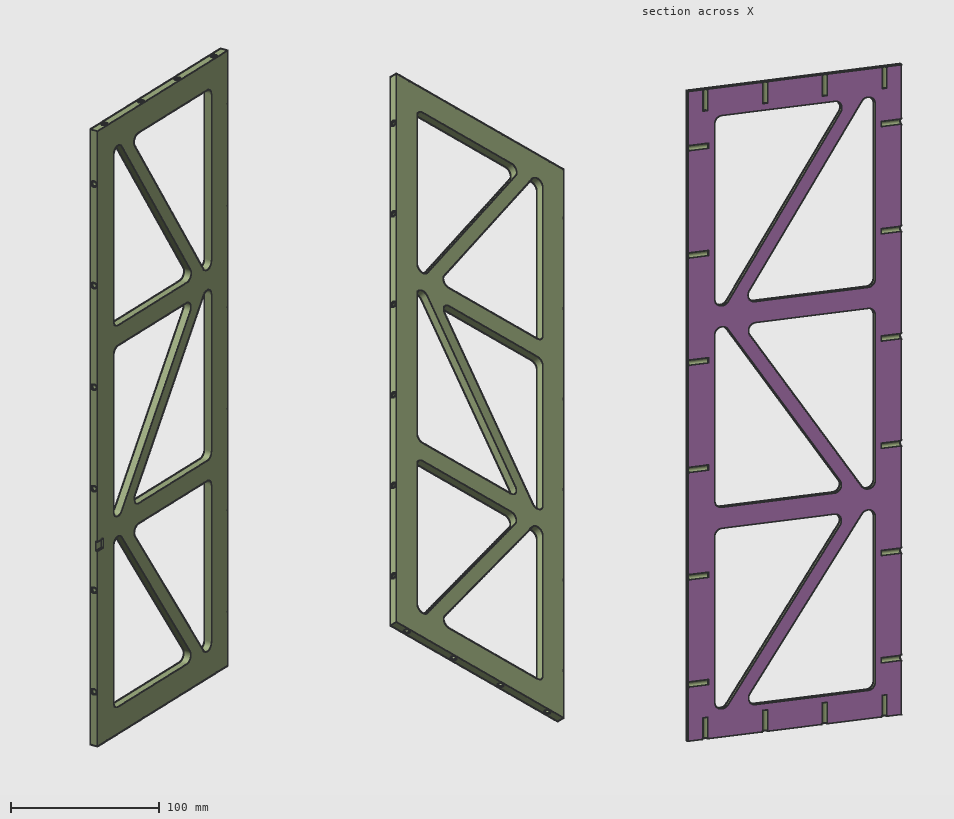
import cadquery as cq
import math

THICKNESS = 6.0
WIDTH = 158.0
HEIGHT = 455.0

WINDOW_WIDTH = 118.5
LOWER_WINDOW_HEIGHT = 126.0
END_BORDER = 20.0
CROSS_RIB = 15.0
TOP_WINDOW_HEIGHT = HEIGHT - 2 * END_BORDER - 2 * CROSS_RIB - 2 * LOWER_WINDOW_HEIGHT

BRACE_WIDTH = 10.0
BRACE_INSET = 14.0
CORNER_RADIUS = 5.0

HOLE_DIAMETER = 3.3
COUNTERSINK_DIAMETER = 4.5
COUNTERSINK_ANGLE = 90
HOLE_DEPTH = 15.0
SIDE_HOLE_COUNT = 6
SIDE_HOLE_PITCH = 75.0
END_HOLE_COUNT = 4
END_HOLE_PITCH = 44.0

NOTCH_DEPTH = 1.5
NOTCH_SIZE = 7.0
NOTCH_CENTER_Z = -79.5


def window_openings(center_z, height, lean):
    """Two rounded openings, one on each side of a diagonal brace.

    lean is +1 when the top of the brace leans toward +Y and -1 when it leans toward -Y.
    """
    half_width = WINDOW_WIDTH / 2
    half_height = height / 2
    brace_reach = half_width - BRACE_INSET
    brace_angle = math.atan2(height, 2 * brace_reach)
    half_brace = BRACE_WIDTH / 2 / math.sin(brace_angle)

    corners = [
        (half_width, -half_height),
        (half_width, half_height),
        (brace_reach + half_brace, half_height),
        (-brace_reach + half_brace, -half_height),
    ]
    openings = cq.Workplane("YZ")
    for turn in (1, -1):
        points = [(turn * lean * y, center_z + turn * z) for y, z in corners]
        opening = (
            cq.Workplane("YZ")
            .polyline(points)
            .close()
            .extrude(THICKNESS, both=True)
            .edges("|X")
            .fillet(CORNER_RADIUS)
        )
        openings = openings.add(opening)
    return openings.combine()


def drill_row(panel, face, count, pitch, along_y):
    """Drill a centred row of blind countersunk holes into one narrow face."""
    offsets = [(i - (count - 1) / 2) * pitch for i in range(count)]
    centers = [(0, offset, 0) if along_y else (0, 0, offset) for offset in offsets]
    plane = panel.faces(face).workplane(centerOption="CenterOfBoundBox").plane
    points = [plane.toLocalCoords(cq.Vector(*center)) for center in centers]
    return (
        cq.Workplane(plane)
        .add(panel.vals())
        .pushPoints([(point.x, point.y) for point in points])
        .cskHole(HOLE_DIAMETER, COUNTERSINK_DIAMETER, COUNTERSINK_ANGLE, HOLE_DEPTH)
    )


panel = cq.Workplane("XY").box(THICKNESS, WIDTH, HEIGHT)

window_bottom = -HEIGHT / 2 + END_BORDER
window_heights = [LOWER_WINDOW_HEIGHT, LOWER_WINDOW_HEIGHT, TOP_WINDOW_HEIGHT]
brace_leans = [-1, 1, -1]
for height, lean in zip(window_heights, brace_leans):
    panel = panel.cut(window_openings(window_bottom + height / 2, height, lean))
    window_bottom += height + CROSS_RIB

for face in ("<Y", ">Y"):
    panel = drill_row(panel, face, SIDE_HOLE_COUNT, SIDE_HOLE_PITCH, along_y=False)
for face in ("<Z", ">Z"):
    panel = drill_row(panel, face, END_HOLE_COUNT, END_HOLE_PITCH, along_y=True)

notch = (
    cq.Workplane("XY")
    .box(2 * NOTCH_DEPTH, 2 * NOTCH_SIZE, NOTCH_SIZE)
    .translate((THICKNESS / 2, -WIDTH / 2, NOTCH_CENTER_Z))
)
result = panel.cut(notch)